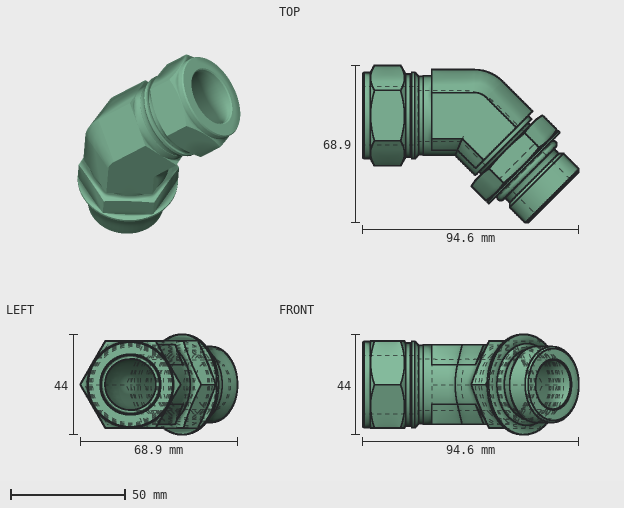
import cadquery as cq
import math

TURN = 45.0
HALF_TURN_TAN = math.tan(math.radians(TURN / 2))

SHANK_DIA = 34.9
SHANK_OUTLET_LEG = 19.6
BODY_FLATS = SHANK_DIA + 0.02
BODY_LEG = 17.5
BODY_CORNER_RADIUS = BODY_FLATS / math.sqrt(3)
BODY_BEND_RADIUS = BODY_FLATS / 2 - BODY_CORNER_RADIUS

INLET_END = 47.65
TUBE_BORE_DIA = 25.6
TUBE_BORE_DEPTH = 24.0
TUBE_BORE_CHAMFER = 0.5
FLOW_DIA = 22.35
OUTLET_DIA = 21.5
NARROW_START = 28.0
FLOW_BEND_RADIUS = 8.9
HALF_SPACE_SIZE = 200.0

NUT_FLATS = 38.1
NUT_CORNERS = NUT_FLATS * 2 / math.sqrt(3)
NUT_COLLAR_DIA = 37.8
NUT_COLLAR_CHAMFER = (0.65, 0.4)
NUT_START = 3.3
NUT_END = 18.7
NUT_CHAMFER_ANGLE = 30.0
NUT_NECK_DIA = 36.5
NUT_NECK_END = 21.0
NUT_NECK_CHAMFER = 0.3
RING_GAP_DIA = 33.34
RING_START = 21.4
RING_RIM_END = 22.75
RING_CONE_END = 24.4
RING_DIA = 38.0
SLEEVE_DIA = 34.5
SLEEVE_END = 26.5

STUD_NECK_DIA = 30.4
LOCKNUT_START = 21.1
LOCKNUT_END = 31.35
LOCKNUT_FACE_DIA = 37.8
LOCKNUT_CHAMFER_ANGLE = 12.0
WASHER_START = 31.5
WASHER_END = 32.55
WASHER_DIA = 44.0
SEAL_THICKNESS = 3.2
SEAL_DIA = 35.8
STUD_NECK_END = 38.65
THREAD_DIA = 33.34
STUD_END = 50.62
STUD_TIP_DIA = 31.45


def along_x(profile):
    """Revolve (x, radius) points, closed along the X axis."""
    points = [(profile[0][0], 0)] + profile + [(profile[-1][0], 0)]
    return cq.Workplane("XY").polyline(points).close().revolve(360, (0, 0, 0), (1, 0, 0))


def to_outlet(shape):
    """Turn a shape built along +X onto the outlet leg."""
    return shape.rotate((0, 0, 0), (0, 0, 1), -TURN)


def hexagon_bar(start, end, across_corners):
    """Hexagonal bar along X with two flats facing +Z and -Z."""
    return cq.Workplane("YZ").workplane(offset=start).polygon(6, across_corners).extrude(end - start)


def chamfered_hexagon(start, end, start_dia, end_dia, angle):
    """Nut hexagon with its corners coned off down to the given diameters at the two end faces."""
    corner_radius = NUT_CORNERS / 2
    slope = math.tan(math.radians(angle))
    envelope = along_x([
        (start, start_dia / 2),
        (start + (corner_radius - start_dia / 2) * slope, corner_radius),
        (end - (corner_radius - end_dia / 2) * slope, corner_radius),
        (end, end_dia / 2),
    ])
    return hexagon_bar(start, end, NUT_CORNERS).intersect(envelope)


def half_space():
    """Large block centred on the origin, to be moved against a cutting plane."""
    return cq.Workplane("XY").box(HALF_SPACE_SIZE, HALF_SPACE_SIZE, HALF_SPACE_SIZE)


def bent_bar(bar, bend_radius):
    """Bend a bar that lies along X: two mitred legs joined by an arc on the outer side.

    The bend axis is parallel to Z. Only the part of the section beyond it is turned around it,
    the rest of the two legs meets on the mitre plane.
    """
    reach = HALF_SPACE_SIZE / 2
    bend_x = -bend_radius * HALF_TURN_TAN
    bend_y = -bend_radius
    mitre_angle = math.radians(TURN / 2)
    mitre_normal = cq.Vector(math.cos(mitre_angle), -math.sin(mitre_angle), 0)

    before_bend = half_space().translate((bend_x - reach, 0, 0))
    before_mitre = (
        half_space().translate((-reach, 0, 0))
        .rotate((0, 0, 0), (0, 0, 1), -TURN / 2)
    )
    inlet_leg = bar.intersect(before_bend).intersect(before_mitre)
    outlet_leg = inlet_leg.mirror(mitre_normal, (0, 0, 0))

    beyond_axis = half_space().translate((0, bend_y + reach, 0))
    section = inlet_leg.intersect(beyond_axis).faces(">X").val()
    arc = cq.Solid.revolve(section, -TURN, cq.Vector(bend_x, bend_y, 0), cq.Vector(bend_x, bend_y, 1))
    return inlet_leg.union(outlet_leg).union(cq.Workplane(arc))


def elbow_body():
    """Forged body: a bent round shank with a shorter hexagon around it.

    The hexagon's inner corner is cut off along the chord where its flats reach the shank.
    """
    flat = BODY_FLATS / 2
    corner = BODY_CORNER_RADIUS
    touch = flat * math.cos(math.radians(30))
    hexagon = (
        cq.Workplane("YZ").workplane(offset=-BODY_LEG)
        .polyline([
            (-touch, flat / 2),
            (-corner / 2, flat),
            (corner / 2, flat),
            (corner, 0),
            (corner / 2, -flat),
            (-corner / 2, -flat),
            (-touch, -flat / 2),
        ])
        .close()
        .extrude(2 * BODY_LEG)
    )
    inlet_length = INLET_END - SLEEVE_END
    shank = cq.Workplane("YZ").workplane(offset=-inlet_length).circle(SHANK_DIA / 2).extrude(2 * inlet_length)
    body = bent_bar(shank.union(hexagon), BODY_BEND_RADIUS)
    beyond_shank = half_space().translate((SHANK_OUTLET_LEG + HALF_SPACE_SIZE / 2, 0, 0))
    return body.cut(to_outlet(beyond_shank))


def inlet_fitting():
    """Union nut, retaining ring and sleeve on the inlet leg."""
    collar_length, collar_step = NUT_COLLAR_CHAMFER
    neck_radius = NUT_NECK_DIA / 2
    turned = along_x([
        (0, NUT_COLLAR_DIA / 2 - collar_step),
        (collar_length, NUT_COLLAR_DIA / 2),
        (NUT_START, NUT_COLLAR_DIA / 2),
        (NUT_START, neck_radius),
        (NUT_NECK_END - NUT_NECK_CHAMFER, neck_radius),
        (NUT_NECK_END, neck_radius - NUT_NECK_CHAMFER),
        (NUT_NECK_END, RING_GAP_DIA / 2),
        (RING_START, RING_GAP_DIA / 2),
        (RING_START, RING_DIA / 2),
        (RING_RIM_END, RING_DIA / 2),
        (RING_CONE_END, SLEEVE_DIA / 2),
        (SLEEVE_END, SLEEVE_DIA / 2),
    ])
    nut = chamfered_hexagon(NUT_START, NUT_END, NUT_COLLAR_DIA, NUT_NECK_DIA, NUT_CHAMFER_ANGLE)
    return turned.union(nut).translate((-INLET_END, 0, 0))


def outlet_stud():
    """Stud with locknut, washer, sealing ring and plain thread cylinder on the outlet leg."""
    thread_radius = THREAD_DIA / 2
    neck_radius = STUD_NECK_DIA / 2
    tip_chamfer = thread_radius - STUD_TIP_DIA / 2
    turned = along_x([
        (SHANK_OUTLET_LEG, neck_radius),
        (LOCKNUT_END, neck_radius),
        (LOCKNUT_END, LOCKNUT_FACE_DIA / 2),
        (WASHER_START, LOCKNUT_FACE_DIA / 2),
        (WASHER_START, WASHER_DIA / 2),
        (WASHER_END, WASHER_DIA / 2),
        (WASHER_END, neck_radius),
        (STUD_NECK_END, neck_radius),
        (STUD_NECK_END + thread_radius - neck_radius, thread_radius),
        (STUD_END - tip_chamfer, thread_radius),
        (STUD_END, STUD_TIP_DIA / 2),
    ])
    seal_radius = SEAL_THICKNESS / 2
    seal_ring_radius = SEAL_DIA / 2 - seal_radius
    seal = (
        cq.Workplane("XY")
        .center(WASHER_END + seal_radius, seal_ring_radius)
        .circle(seal_radius)
        .revolve(360, (0, -seal_ring_radius, 0), (1, -seal_ring_radius, 0))
    )
    locknut = chamfered_hexagon(
        LOCKNUT_START, LOCKNUT_END, LOCKNUT_FACE_DIA, LOCKNUT_FACE_DIA, LOCKNUT_CHAMFER_ANGLE
    )
    return to_outlet(turned.union(seal).union(locknut))


def flow_passage():
    """Bent bore through both legs, narrowed towards the stud end and chamfered at the outlet face."""
    bar = cq.Workplane("YZ").workplane(offset=-NARROW_START).circle(FLOW_DIA / 2).extrude(2 * NARROW_START)
    mouth_chamfer = (FLOW_DIA - OUTLET_DIA) / 2
    outlet = along_x([
        (NARROW_START, OUTLET_DIA / 2),
        (STUD_END - mouth_chamfer, OUTLET_DIA / 2),
        (STUD_END, FLOW_DIA / 2),
    ])
    return bent_bar(bar, FLOW_BEND_RADIUS).union(to_outlet(outlet))


def tube_bore():
    """Stepped tube socket in the inlet leg with a chamfered mouth."""
    radius = TUBE_BORE_DIA / 2
    socket = along_x([
        (0, radius + TUBE_BORE_CHAMFER),
        (TUBE_BORE_CHAMFER, radius),
        (TUBE_BORE_DEPTH, radius),
    ])
    return socket.translate((-INLET_END, 0, 0))


outside = elbow_body().union(inlet_fitting()).union(outlet_stud())
result = outside.cut(flow_passage(), clean=False).cut(tube_bore(), clean=False)